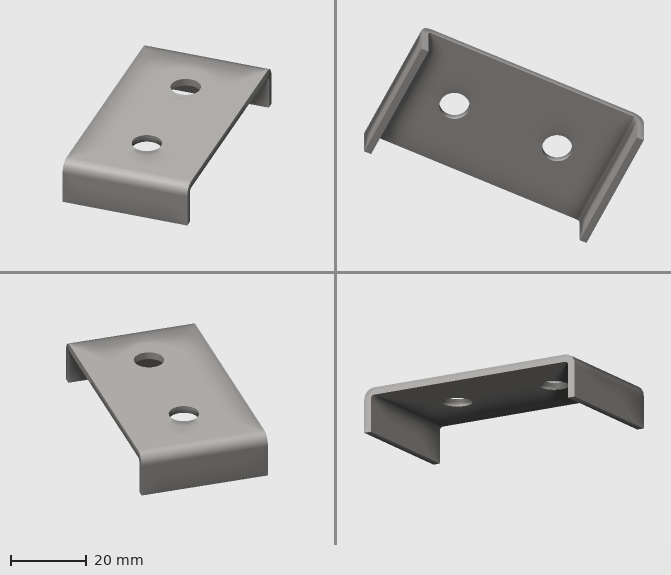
import cadquery as cq

width = 35.0
length = 65.0
height = 12.0

thickness = 2.0
inner_bend_radius = 1.0
outer_bend_radius = inner_bend_radius + thickness

hole_diameter = 8.0
hole_spacing = 30.0
hole_offset = -0.5


def bent_sheet():
    """Top plate with a flange folded down at each end."""
    outer = (
        cq.Workplane("XY")
        .box(width, length, height, centered=(True, True, False))
        .edges("|X and >Z")
        .fillet(outer_bend_radius)
    )
    inner = (
        cq.Workplane("XY")
        .box(width, length - 2 * thickness, height - thickness, centered=(True, True, False))
        .edges("|X and >Z")
        .fillet(inner_bend_radius)
    )
    return outer.cut(inner)


def plate_holes():
    """Cylinders that cut both holes through the top plate."""
    centres = [(0, hole_offset + side * hole_spacing / 2) for side in (-1, 1)]
    return cq.Workplane("XY").pushPoints(centres).circle(hole_diameter / 2).extrude(height)


result = bent_sheet().cut(plate_holes())